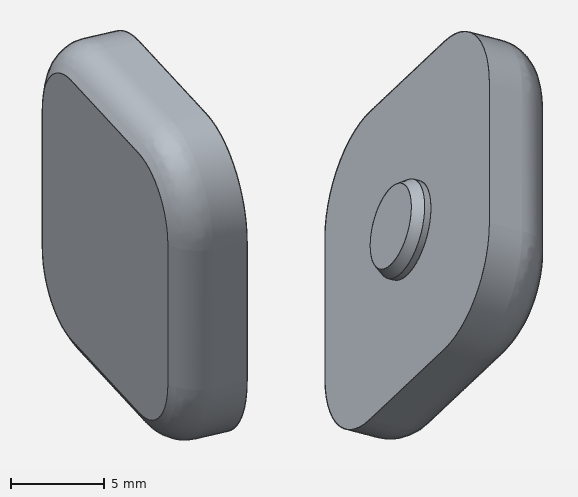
import cadquery as cq
import math

plate_side = 19.0
plate_thickness = 4.0
corner_radius = 5.19
wall_depth = plate_thickness / 2
rim_radius = 2.0
bevel_angle = math.radians(60)

stud_diameter = 5.51
stud_height = 0.99
stud_rim_depth = 0.6
stud_rim_inset = 0.38


def make_plate():
    """Rounded square whose bevelled front blends into the wall with an arc."""
    tangent_length = rim_radius * math.tan(bevel_angle / 2)
    bevel_depth = plate_thickness - wall_depth - tangent_length
    bevel_inset = bevel_depth * math.tan(bevel_angle)

    slab = (
        cq.Workplane("XZ")
        .rect(plate_side, plate_side)
        .extrude(plate_thickness)
        .edges("|Y")
        .fillet(corner_radius)
    )
    bevelled = slab.faces("<Y").chamfer(bevel_depth, bevel_inset)

    sharp_edge_y = bevel_depth - plate_thickness
    half_side = plate_side / 2
    sharp_edge = cq.NearestToPointSelector((half_side, sharp_edge_y, 0))
    return bevelled.edges(sharp_edge).fillet(rim_radius)


def make_stud():
    """Turned button with a conical rim behind its cylindrical wall."""
    radius = stud_diameter / 2
    end_radius = radius - stud_rim_inset
    rim_start = stud_height - stud_rim_depth
    return (
        cq.Workplane("XY")
        .lineTo(radius, 0)
        .lineTo(radius, rim_start)
        .lineTo(end_radius, stud_height)
        .lineTo(0, stud_height)
        .close()
        .revolve(360, (0, 0, 0), (0, 1, 0))
    )


plate = make_plate()
stud = make_stud()

result = cq.Compound.makeCompound([plate.val(), stud.val()])